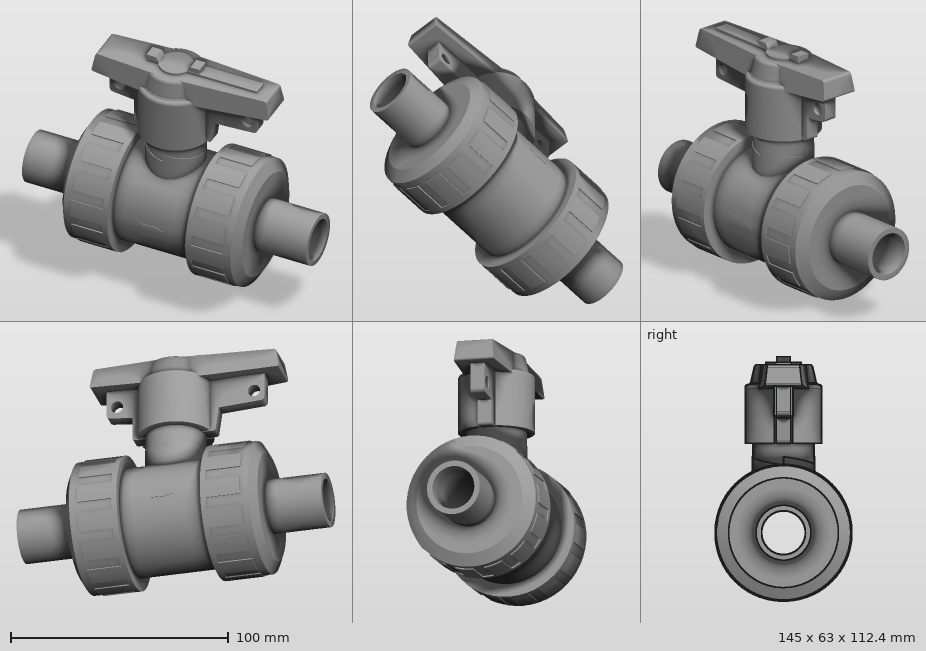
import cadquery as cq
import math


LENGTH = 145.0
PIPE_RADIUS = 12.6
BORE_RADIUS = 10.0
BODY_RADIUS = 25.5

NUT_INNER_X = 19.9
NUT_OUTER_X = 45.7
NUT_RADIUS = 31.5
NUT_FACE_RADIUS = 25.2
NUT_CHAMFER_LENGTH = 3.0
GROOVE_DEPTH = 0.6
GROOVE_START_X = 22.5
GROOVE_END_X = 38.7
GROOVE_COUNT = 14
GROOVE_ANGLE = 9.5
GROOVE_FIRST_ANGLE = 17.6

ARROW_HALF_LENGTH = 5.7
ARROW_SHAFT_HALF_WIDTH = 1.0
ARROW_HEAD_HALF_WIDTH = 1.5
ARROW_HEIGHT = 0.3

STEM_RADIUS = 14.0
STEM_TOP_Z = 53.6
COLLAR_RADIUS = 14.4
RAMP_LOW_Z = 31.2
RAMP_HIGH_Z = 35.0
RAMP_COUNT = 4

HUB_RADIUS = 17.7
HUB_BOTTOM_Z = 41.0
HUB_TOP_Z = 68.2
HUB_FILLET = 1.7
SLOT_WIDTH = 8.7
SLOT_TOP_Z = 67.4

WEB_THICKNESS = 6.7
WEB_LEFT_X = -32.2
WEB_RIGHT_X = 42.9
WEB_EAR_Z = 54.0
WEB_STEP_Z = 52.6
WEB_FOOT_LEFT_X = -19.9
WEB_FOOT_RIGHT_X = 19.6
WEB_FOOT_FLARE = 1.6
WEB_EAR_FILLET = 1.9
WEB_FOOT_FILLET = 1.3
WEB_HOLE_RADIUS = 2.9
WEB_HOLE_INSET = 5.0
WEB_HOLE_Z = 59.2

LEVER_TOP_Z = 77.3
LEVER_END_Z = 67.7
LEVER_MIDDLE_Z = 66.1
LEVER_LEFT_X = -38.7
LEVER_RIGHT_X = 51.3
LEVER_END_SLANT = 1.7
LEVER_MIDDLE_HALF_WIDTH = 10.9
LEVER_LEFT_HALF_WIDTH = 8.3
LEVER_RIGHT_HALF_WIDTH = 7.2
LEVER_DRAFT = 7.5
LEVER_TOP_FILLET = 1.5
LEVER_LOWER_FILLET = 0.9

BOSS_BOTTOM_RADIUS = 15.1
BOSS_TOP_RADIUS = 13.2
BOSS_FILLET = 1.7
BOSS_FOOT = 0.7
CAP_RADIUS = 8.1
CAP_TOP_Z = 78.5
STRIP_END_X = 43.0
STRIP_WIDTH = 7.0
TAB_TOP_Z = 80.9
TAB_WIDTH = 6.4
TAB_OUTER_X = 13.5
TAB_CREST_X = 8.8
TAB_TOE_X = 7.1


def x_cylinder(radius, length):
    """Cylinder along X, centred on the origin."""
    return cq.Workplane("YZ").circle(radius).extrude(length / 2, both=True)


def z_cylinder(radius, bottom, top):
    """Cylinder along Z around the stem axis."""
    return cq.Workplane("XY").workplane(offset=bottom).circle(radius).extrude(top - bottom)


def xz_plate(points, thickness):
    """Outline in X and Z, extruded evenly to both sides of Y = 0."""
    return cq.Workplane("XZ").polyline(points).close().extrude(thickness / 2, both=True)


def union_nut():
    """Nut on the +X side, with grip grooves open towards its outer end."""
    groove_radius = NUT_RADIUS - GROOVE_DEPTH
    nut = (
        cq.Workplane("XY")
        .polyline([
            (NUT_INNER_X, 0),
            (NUT_INNER_X, NUT_RADIUS),
            (GROOVE_END_X, NUT_RADIUS),
            (GROOVE_END_X, groove_radius),
            (NUT_OUTER_X - NUT_CHAMFER_LENGTH, groove_radius),
            (NUT_OUTER_X, NUT_FACE_RADIUS),
            (NUT_OUTER_X, 0),
        ])
        .close()
        .revolve(360, (0, 0), (1, 0))
    )
    groove = (
        cq.Workplane("XY")
        .moveTo(GROOVE_START_X, groove_radius)
        .lineTo(GROOVE_END_X, groove_radius)
        .lineTo(GROOVE_END_X, NUT_RADIUS + GROOVE_DEPTH)
        .lineTo(GROOVE_START_X, NUT_RADIUS + GROOVE_DEPTH)
        .close()
        .revolve(GROOVE_ANGLE, (0, 0), (1, 0))
    )
    for index in range(GROOVE_COUNT):
        angle = GROOVE_FIRST_ANGLE - GROOVE_ANGLE / 2 + index * 360 / GROOVE_COUNT
        nut = nut.cut(groove.rotate((0, 0, 0), (1, 0, 0), angle))
    return nut


def flow_arrows():
    """Raised arrows pointing to +X on both flanks of the body."""
    outline = [
        (-ARROW_HALF_LENGTH, -ARROW_SHAFT_HALF_WIDTH),
        (0, -ARROW_SHAFT_HALF_WIDTH),
        (0, -ARROW_HEAD_HALF_WIDTH),
        (ARROW_HALF_LENGTH, 0),
        (0, ARROW_HEAD_HALF_WIDTH),
        (0, ARROW_SHAFT_HALF_WIDTH),
        (-ARROW_HALF_LENGTH, ARROW_SHAFT_HALF_WIDTH),
    ]
    return xz_plate(outline, 2 * (BODY_RADIUS + ARROW_HEIGHT))


def stem():
    """Round stem whose collar ends in ramps that fall anticlockwise, one after the other."""
    half_chord = COLLAR_RADIUS * math.sin(math.pi / RAMP_COUNT)
    collar = z_cylinder(COLLAR_RADIUS, 0, RAMP_HIGH_Z)
    ramp_side = [
        (-half_chord, 0),
        (half_chord, 0),
        (half_chord, RAMP_LOW_Z),
        (-half_chord, RAMP_HIGH_Z),
    ]
    sector = (
        cq.Workplane("XY")
        .polyline([(0, 0), (-2 * half_chord, -2 * half_chord), (2 * half_chord, -2 * half_chord)])
        .close()
        .extrude(RAMP_HIGH_Z)
    )
    quarter = collar.intersect(sector).intersect(xz_plate(ramp_side, 4 * COLLAR_RADIUS))
    post = z_cylinder(STEM_RADIUS, 0, STEM_TOP_Z)
    for index in range(RAMP_COUNT):
        angle = (index + 0.5) * 360 / RAMP_COUNT
        post = post.union(quarter.rotate((0, 0, 0), (0, 0, 1), angle))
    return post


def lever_bar():
    """Tapered bar, widest over the stem, with drafted flanks and slanted ends."""
    flanks = (
        cq.Workplane("XY", origin=(0, 0, LEVER_TOP_Z))
        .polyline([
            (LEVER_LEFT_X, -LEVER_LEFT_HALF_WIDTH),
            (0, -LEVER_MIDDLE_HALF_WIDTH),
            (LEVER_RIGHT_X, -LEVER_RIGHT_HALF_WIDTH),
            (LEVER_RIGHT_X, LEVER_RIGHT_HALF_WIDTH),
            (0, LEVER_MIDDLE_HALF_WIDTH),
            (LEVER_LEFT_X, LEVER_LEFT_HALF_WIDTH),
        ])
        .close()
        .extrude(LEVER_MIDDLE_Z - LEVER_TOP_Z, taper=-LEVER_DRAFT)
    )
    side = xz_plate(
        [
            (LEVER_LEFT_X, LEVER_END_Z),
            (-BOSS_BOTTOM_RADIUS, LEVER_MIDDLE_Z),
            (HUB_RADIUS, LEVER_MIDDLE_Z),
            (LEVER_RIGHT_X, LEVER_END_Z),
            (LEVER_RIGHT_X - LEVER_END_SLANT, LEVER_TOP_Z),
            (LEVER_LEFT_X + LEVER_END_SLANT, LEVER_TOP_Z),
        ],
        4 * LEVER_MIDDLE_HALF_WIDTH,
    )
    side = side.faces(">Z").edges("|Y").fillet(LEVER_TOP_FILLET)
    side = side.edges("<X or >X").edges("|Y").fillet(LEVER_LOWER_FILLET)
    return flanks.intersect(side)


def conical_boss():
    """Truncated cone with a flared foot on the hub, flush with the lever top."""
    boss = (
        cq.Workplane("XZ")
        .polyline([
            (0, HUB_TOP_Z),
            (BOSS_BOTTOM_RADIUS + BOSS_FOOT, HUB_TOP_Z),
            (BOSS_BOTTOM_RADIUS, HUB_TOP_Z + BOSS_FOOT),
            (BOSS_TOP_RADIUS, LEVER_TOP_Z),
            (0, LEVER_TOP_Z),
        ])
        .close()
        .revolve(360, (0, 0), (0, 1))
    )
    return boss.faces(">Z").edges().fillet(BOSS_FILLET)


def web_plate():
    """Upright plate with a locking hole in each ear and a foot that runs down the hub."""
    plate = xz_plate(
        [
            (WEB_LEFT_X, LEVER_END_Z),
            (WEB_LEFT_X, WEB_EAR_Z),
            (WEB_FOOT_LEFT_X, WEB_STEP_Z),
            (WEB_FOOT_LEFT_X, HUB_BOTTOM_Z),
            (WEB_FOOT_RIGHT_X, HUB_BOTTOM_Z),
            (WEB_FOOT_RIGHT_X + WEB_FOOT_FLARE, WEB_STEP_Z),
            (WEB_RIGHT_X, WEB_EAR_Z),
            (WEB_RIGHT_X, LEVER_END_Z),
        ],
        WEB_THICKNESS,
    )
    ear_corners = [(WEB_LEFT_X, WEB_EAR_Z), (WEB_RIGHT_X, WEB_EAR_Z)]
    foot_corners = [(WEB_FOOT_LEFT_X, HUB_BOTTOM_Z), (WEB_FOOT_RIGHT_X, HUB_BOTTOM_Z)]
    for corners, radius in ((ear_corners, WEB_EAR_FILLET), (foot_corners, WEB_FOOT_FILLET)):
        for x, z in corners:
            plate = plate.edges(cq.NearestToPointSelector((x, 0, z))).fillet(radius)
    holes = (
        cq.Workplane("XZ")
        .pushPoints([
            (WEB_LEFT_X + WEB_HOLE_INSET, WEB_HOLE_Z),
            (WEB_RIGHT_X - WEB_HOLE_INSET, WEB_HOLE_Z),
        ])
        .circle(WEB_HOLE_RADIUS)
        .extrude(WEB_THICKNESS, both=True)
    )
    return plate.cut(holes)


def top_details():
    """Round cap, pointer strip towards +X and two tabs that lean on the cap."""
    cap = z_cylinder(CAP_RADIUS, LEVER_END_Z, CAP_TOP_Z)
    strip = cq.Workplane("XY").box(
        STRIP_END_X, STRIP_WIDTH, CAP_TOP_Z - LEVER_END_Z, centered=(False, True, False)
    )
    tab = xz_plate(
        [
            (TAB_OUTER_X, LEVER_END_Z),
            (TAB_OUTER_X, TAB_TOP_Z),
            (TAB_CREST_X, TAB_TOP_Z),
            (TAB_TOE_X, CAP_TOP_Z),
            (TAB_TOE_X, LEVER_END_Z),
        ],
        TAB_WIDTH,
    )
    return cap.union(strip.translate((0, 0, LEVER_END_Z))).union(tab).union(tab.mirror("YZ"))


def handle():
    """Lever on a hub split by a slot, with the web plate standing clear inside the slot."""
    hub = z_cylinder(HUB_RADIUS, HUB_BOTTOM_Z, HUB_TOP_Z)
    hub = hub.faces(">Z").edges().fillet(HUB_FILLET)
    slot = cq.Workplane("XY").box(
        LENGTH, SLOT_WIDTH, SLOT_TOP_Z - HUB_BOTTOM_Z, centered=(True, True, False)
    )
    grip = hub.union(lever_bar()).union(conical_boss())
    grip = grip.cut(slot.translate((0, 0, HUB_BOTTOM_Z)))
    return grip.union(web_plate()).union(top_details())


nut = union_nut()
body = x_cylinder(PIPE_RADIUS, LENGTH).union(x_cylinder(BODY_RADIUS, 2 * NUT_INNER_X))
body = body.union(nut).union(nut.rotate((0, 0, 0), (0, 0, 1), 180))
body = body.union(flow_arrows()).union(stem())
body = body.cut(x_cylinder(BORE_RADIUS, LENGTH))
result = body.union(handle())